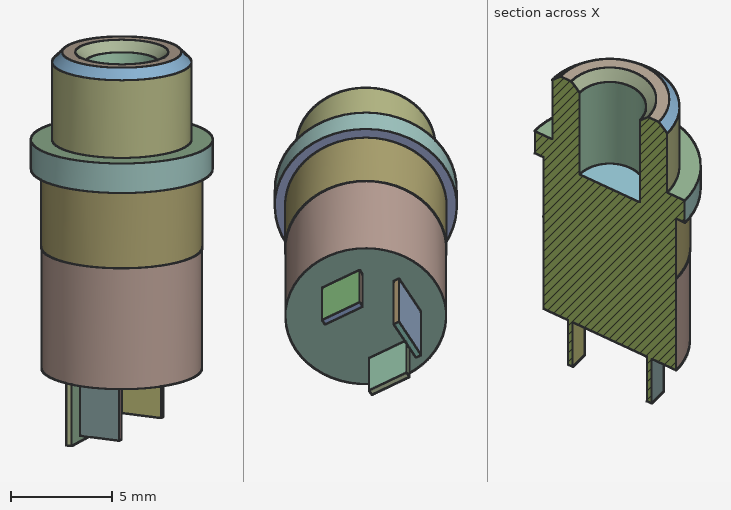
import cadquery as cq

total_height = 20.2
short_tab_bottom = 1.0
body_bottom = 4.0
body_joint = 10.2
flange_bottom = 14.2
flange_top = 15.72

lower_body_diameter = 7.95
upper_body_diameter = 8.0
flange_diameter = 9.0
neck_diameter = 6.9
bore_diameter = 3.6

bore_depth = total_height - flange_bottom
rim_chamfer = 0.5

tab_thickness = 0.3
tab_offset = 2.36
long_tab_width = 2.25
short_tab_width = 2.15


def cylinder(diameter, bottom, top):
    """Upright cylinder on the central axis."""
    return cq.Workplane("XY").workplane(offset=bottom).circle(diameter / 2).extrude(top - bottom)


def tab(size_x, size_y, x, y, bottom):
    """Flat terminal hanging from the underside of the body."""
    length = body_bottom - bottom
    return cq.Workplane("XY").workplane(offset=bottom).center(x, y).rect(size_x, size_y).extrude(length)


result = cylinder(lower_body_diameter, body_bottom, body_joint)
result = result.union(cylinder(upper_body_diameter, body_joint, flange_bottom))
result = result.union(cylinder(flange_diameter, flange_bottom, flange_top))
result = result.union(cylinder(neck_diameter, flange_top, total_height))

result = result.faces(">Z").workplane().hole(bore_diameter, bore_depth)
result = result.faces(">Z").edges().chamfer(rim_chamfer)

result = result.union(tab(tab_thickness, long_tab_width, -tab_offset, 0, 0))
for side in (-1, 1):
    result = result.union(tab(short_tab_width, tab_thickness, 0, side * tab_offset, short_tab_bottom))